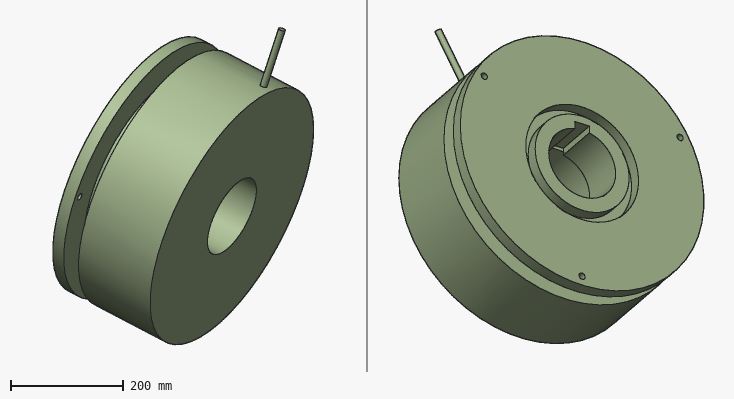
import cadquery as cq
import math

outer_diameter = 508.0
outer_radius = outer_diameter / 2
total_length = 212.5
total_height = 576.0

flange_thickness = 24.0
neck_length = 32.0
neck_radius = 191.0

groove_outer_radius = 117.5
hub_radius = 98.0
groove_depth = flange_thickness

bore_radius = 70.0
rear_bore_radius = 76.0
hub_length = 90.0
keyway_width = 30.0
keyway_top = 82.5

flange_hole_radius = 6.5
flange_hole_circle_radius = 235.5
flange_hole_angles = (30, 150, 270)

cable_radius = 6.5
cable_x = 192.5
cable_tilt = 30
cable_start_radius = 219.0
tilt = math.radians(cable_tilt)
cable_end_height = total_height - outer_radius
cable_end_radius = (cable_end_height - cable_radius * math.sin(tilt)) / math.cos(tilt)


def cylinder(radius, start, end):
    """Solid cylinder on the main axis between two X positions."""
    return cq.Workplane("YZ", origin=(start, 0, 0)).circle(radius).extrude(end - start)


def make_body():
    neck_end = flange_thickness + neck_length
    flange = cylinder(outer_radius, 0, flange_thickness)
    neck = cylinder(neck_radius, 0, neck_end)
    housing = cylinder(outer_radius, neck_end, total_length)
    return flange.union(neck).union(housing)


def make_ring_groove():
    return cylinder(groove_outer_radius, 0, groove_depth).cut(cylinder(hub_radius, 0, groove_depth))


def make_bore():
    front_bore = cylinder(bore_radius, 0, hub_length)
    rear_bore = cylinder(rear_bore_radius, hub_length, total_length)
    keyway = cq.Workplane("XY").box(hub_length, keyway_width, keyway_top, centered=(False, True, False))
    return front_bore.union(rear_bore).union(keyway)


def make_flange_holes():
    centers = [
        (
            flange_hole_circle_radius * math.cos(math.radians(angle)),
            flange_hole_circle_radius * math.sin(math.radians(angle)),
        )
        for angle in flange_hole_angles
    ]
    return cq.Workplane("YZ").pushPoints(centers).circle(flange_hole_radius).extrude(flange_thickness)


def make_cable():
    direction = cq.Vector(0, math.sin(tilt), math.cos(tilt))
    start = cq.Vector(cable_x, 0, 0) + direction * cable_start_radius
    length = cable_end_radius - cable_start_radius
    return cq.Workplane(cq.Solid.makeCylinder(cable_radius, length, start, direction))


result = (
    make_body()
    .cut(make_ring_groove())
    .cut(make_bore())
    .cut(make_flange_holes())
    .union(make_cable())
)